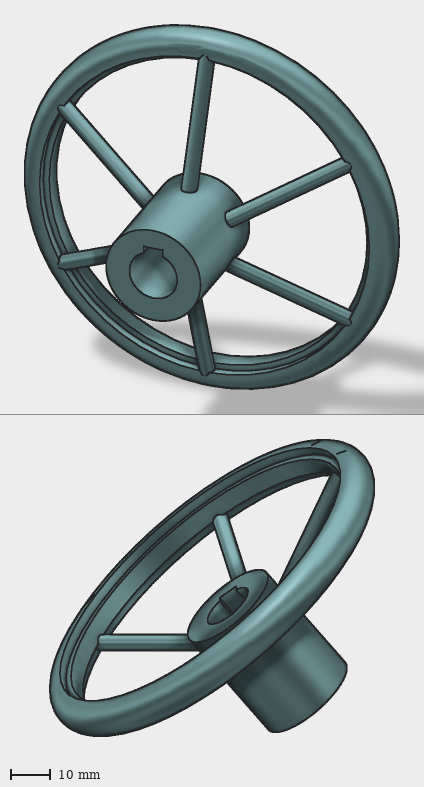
import cadquery as cq
import math

outer_radius = 50.4
rim_half_width = 4.8
rim_center_radius = outer_radius - rim_half_width
lip_radius = 44.6
band_radius = 43.0
band_half_width = 2.4

hub_radius = 12.8
hub_back_y = -6.3
hub_front_y = -38.4
hub_length = hub_back_y - hub_front_y
bore_radius = 6.4
keyway_width = 5.2
keyway_top = 7.8

spoke_count = 6
spoke_radius = 2.0
spoke_angle = 20.0
spoke_entry_y = -14.7
spoke_inner_radius = 10.1
spoke_outer_radius = 46.8


def make_rim():
    """Half-round rim with a raised band around its inner surface."""
    profile = (
        cq.Workplane("XY")
        .moveTo(rim_center_radius, -rim_half_width)
        .threePointArc((outer_radius, 0), (rim_center_radius, rim_half_width))
        .lineTo(lip_radius, rim_half_width)
        .lineTo(lip_radius, band_half_width)
        .lineTo(band_radius, band_half_width)
        .lineTo(band_radius, -band_half_width)
        .lineTo(lip_radius, -band_half_width)
        .lineTo(lip_radius, -rim_half_width)
        .close()
    )
    return profile.revolve(360, (0, 0, 0), (0, 1, 0))


def make_hub():
    """Plain hub with a through bore and a keyway on the +Z side."""
    plane = cq.Workplane("XZ", origin=(0, hub_back_y, 0))
    body = plane.circle(hub_radius).extrude(hub_length)
    bore = plane.circle(bore_radius).extrude(hub_length)
    keyway = plane.center(0, keyway_top / 2).rect(keyway_width, keyway_top).extrude(hub_length)
    return body.cut(bore).cut(keyway)


def make_spoke():
    """Sloping round spoke in the +Z direction, with both ends buried."""
    lean = math.radians(spoke_angle)
    start_y = spoke_entry_y - (hub_radius - spoke_inner_radius) * math.tan(lean)
    length = (spoke_outer_radius - spoke_inner_radius) / math.cos(lean)
    start = cq.Vector(0, start_y, spoke_inner_radius)
    direction = cq.Vector(0, math.sin(lean), math.cos(lean))
    return cq.Workplane(cq.Solid.makeCylinder(spoke_radius, length, start, direction))


result = make_rim().union(make_hub())
spoke = make_spoke()
for index in range(spoke_count):
    angle = index * 360 / spoke_count
    result = result.union(spoke.rotate((0, 0, 0), (0, 1, 0), angle))